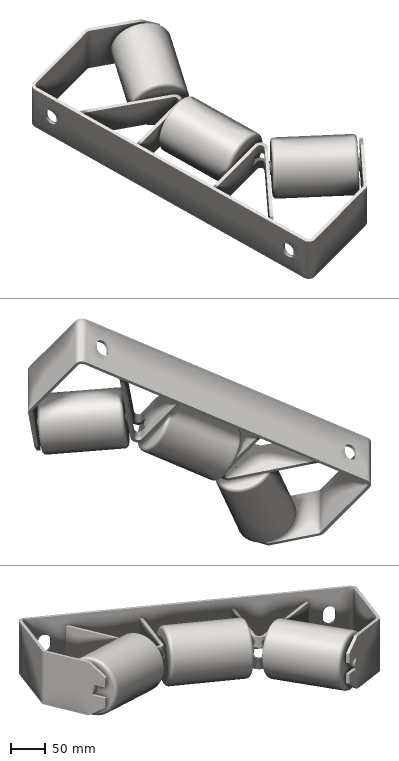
import cadquery as cq
import math

FRAME_LENGTH = 510.0
FRAME_HEIGHT = 82.0
SHEET = 5.0
BEND_RADIUS = 11.0
ARM_ANGLE = 50.0
ARM_TIP_Y = 223.0
TIP_CHAMFER_ALONG = 29.0
TIP_CHAMFER_ACROSS = 18.0

MOUNT_SPACING = 430.0
MOUNT_LENGTH = 27.0
MOUNT_WIDTH = 20.0

ROLLER_DIAMETER = 89.0
ROLLER_LENGTH = 125.5
ROLLER_FILLET = 5.0
END_GAP = 4.0
SHAFT_RADIUS = 10.0
SHAFT_FLATS = 17.0
MIDDLE_ROLLER_Y = 100.5
SIDE_ROLLER_X = 149.0
SIDE_ROLLER_Y = 153.0

BRACKET_HEIGHT = 50.0

angle = math.radians(ARM_ANGLE)
along = cq.Vector(math.cos(angle), math.sin(angle), 0)
outward = cq.Vector(-math.sin(angle), math.cos(angle), 0)
side_roller = cq.Vector(-SIDE_ROLLER_X, SIDE_ROLLER_Y, 0)
middle_roller = cq.Vector(0, MIDDLE_ROLLER_Y, 0)
face_distance = ROLLER_LENGTH / 2 + END_GAP
shaft_half = face_distance + SHEET
axis_turn = ARM_ANGLE - 90


def mirrored(shape):
    return shape.mirror("YZ")


def extruded(outline, height):
    """A solid from a plan outline, centred on the XY plane."""
    return outline.close().extrude(height / 2, both=True)


def placed(body, centre, turn):
    """Turn a body built along the X axis about Z and move it to a roller centre."""
    return body.rotate((0, 0, 0), (0, 0, 1), turn).translate(centre)


def flat_shaft():
    """The shaft over its full length along X, with two flats facing up and down."""
    round_bar = cq.Workplane("YZ").workplane(offset=-shaft_half).circle(SHAFT_RADIUS).extrude(2 * shaft_half)
    flats = cq.Workplane("XY").box(2 * shaft_half, 2 * SHAFT_RADIUS, SHAFT_FLATS)
    return round_bar.intersect(flats)


def shaft_slots(centre, turn):
    """Cutter for the sheets at both ends of a roller: the flat shaft with a way in from local +Y."""
    way_in = cq.Workplane("XY").box(
        2 * shaft_half, ROLLER_DIAMETER, SHAFT_FLATS, centered=(True, False, True)
    )
    return placed(flat_shaft().union(way_in), centre, turn)


arm_foot = side_roller + outward * shaft_half
arm_corner = arm_foot + along * ((-FRAME_LENGTH / 2 - arm_foot.x) / along.x)
arm_tip = arm_corner + along * ((ARM_TIP_Y - arm_corner.y) / along.y)


def strip_corners(depth):
    """Corners of the strip at a depth below its outer face, from one arm tip to the other."""
    tip = arm_tip - outward * depth
    knee_x = -FRAME_LENGTH / 2 + depth
    knee_y = tip.y + (knee_x - tip.x) * math.tan(angle)
    left = [(tip.x, tip.y), (knee_x, knee_y), (knee_x, depth)]
    return left + [(-x, y) for x, y in reversed(left)]


def round_bends(body, corners, radius):
    """Round the upright edges that stand on the given plan corners."""
    for x, y in corners:
        corner_edge = cq.selectors.NearestToPointSelector((x, y, 0))
        body = body.edges("|Z").edges(corner_edge).fillet(radius)
    return body


def tip_chamfers():
    """Two wedges that bevel the top and bottom corners of the left arm's free end."""
    edge = FRAME_HEIGHT / 2
    plane = cq.Plane(origin=arm_tip.toTuple(), xDir=along.toTuple(), normal=outward.toTuple())
    wedges = cq.Workplane(plane)
    for side in (-1, 1):
        wedges = wedges.polyline(
            [
                (0, side * edge),
                (-TIP_CHAMFER_ALONG, side * edge),
                (0, side * (edge - TIP_CHAMFER_ACROSS)),
            ]
        ).close()
    return wedges.extrude(-SHEET)


def mounting_slots():
    return (
        cq.Workplane("XZ")
        .pushPoints([(-MOUNT_SPACING / 2, 0), (MOUNT_SPACING / 2, 0)])
        .slot2D(MOUNT_LENGTH, MOUNT_WIDTH, 90)
        .extrude(-SHEET)
    )


def build_frame():
    outer = strip_corners(0)
    inner = strip_corners(SHEET)
    body = extruded(cq.Workplane("XY").polyline(outer + inner[::-1]), FRAME_HEIGHT)
    body = round_bends(body, outer[1:-1], BEND_RADIUS)
    body = round_bends(body, inner[1:-1], BEND_RADIUS - SHEET)

    body = body.cut(mounting_slots())
    for left_cutter in (shaft_slots(side_roller, axis_turn), tip_chamfers()):
        body = body.cut(left_cutter).cut(mirrored(left_cutter))
    return body


def build_bracket():
    """Left bracket: an upright leg beside the middle roller and a sloping leg beside the side roller."""
    inner_radius = BEND_RADIUS - SHEET
    bend_x = -face_distance - BEND_RADIUS
    to_bend = face_distance + BEND_RADIUS
    bend_y = SIDE_ROLLER_Y + (-to_bend - (bend_x + SIDE_ROLLER_X) * outward.x) / outward.y
    bend = cq.Vector(bend_x, bend_y, 0)
    crown = (cq.Vector(1, 0, 0) + outward).normalized()

    inner_top = bend + outward * inner_radius
    outer_top = bend + outward * BEND_RADIUS
    foot_inner = inner_top + along * ((SHEET - inner_top.y) / along.y)
    foot_outer = foot_inner + outward * SHEET

    outline = (
        cq.Workplane("XY")
        .moveTo(bend.x + BEND_RADIUS, SHEET)
        .lineTo(bend.x + BEND_RADIUS, bend.y)
        .threePointArc(bend + crown * BEND_RADIUS, outer_top)
        .lineTo(foot_outer.x, foot_outer.y)
        .lineTo(foot_inner.x, foot_inner.y)
        .lineTo(inner_top.x, inner_top.y)
        .threePointArc(bend + crown * inner_radius, (bend.x + inner_radius, bend.y))
        .lineTo(bend.x + inner_radius, SHEET)
    )
    body = extruded(outline, BRACKET_HEIGHT)

    bend_opening = (
        cq.Workplane("XY")
        .box(2 * BEND_RADIUS, BEND_RADIUS, SHAFT_FLATS, centered=(True, False, True))
        .translate(bend)
    )
    body = body.cut(bend_opening)
    return body.cut(shaft_slots(middle_roller, 0)).cut(shaft_slots(side_roller, axis_turn))


def build_roller(centre, turn):
    """A roller with a shaft that is round up to the sheets and flattened inside their slots."""
    barrel = (
        cq.Workplane("YZ")
        .workplane(offset=-ROLLER_LENGTH / 2)
        .circle(ROLLER_DIAMETER / 2)
        .extrude(ROLLER_LENGTH)
        .edges("%CIRCLE")
        .fillet(ROLLER_FILLET)
    )
    neck = cq.Workplane("YZ").workplane(offset=-face_distance).circle(SHAFT_RADIUS).extrude(2 * face_distance)
    return placed(barrel.union(neck).union(flat_shaft()), centre, turn)


frame = build_frame()
left_bracket = build_bracket()
brackets = [left_bracket, mirrored(left_bracket)]
left_roller = build_roller(side_roller, axis_turn)
rollers = [left_roller, build_roller(middle_roller, 0), mirrored(left_roller)]

result = cq.Compound.makeCompound([body.val() for body in [frame, *brackets, *rollers]])